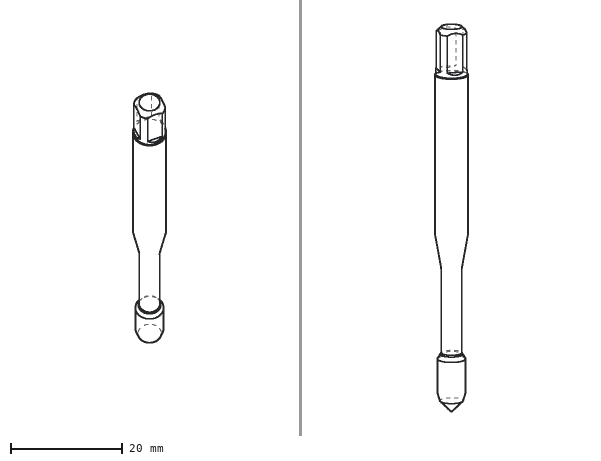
import cadquery as cq

total_length = 71.8

shank_diameter = 6.0
drive_diameter = 5.75
square_width = 4.95
drive_end_diameter = 3.7
drive_shoulder_z = 63.0
square_bottom_z = 63.9
taper_top_z = 33.25
taper_bottom_z = 26.7

neck_diameter = 3.7
neck_bottom_z = 11.05

head_diameter = 5.1
tip_diameter = 4.25
head_top_z = 10.8
head_shoulder_z = 9.9
lead_top_z = 3.6

shank_radius = shank_diameter / 2
drive_radius = drive_diameter / 2
drive_end_radius = drive_end_diameter / 2
neck_radius = neck_diameter / 2
head_radius = head_diameter / 2
tip_radius = tip_diameter / 2

shoulder_slope = (head_radius - neck_radius) / (neck_bottom_z - head_shoulder_z)
joint_radius = head_radius - shoulder_slope * (head_top_z - head_shoulder_z)


def revolve_profile(points):
    """Turn a closed (radius, z) outline around the Z axis."""
    return cq.Workplane("XZ").polyline(points).close().revolve(360, (0, 0), (0, 1))


def make_square_envelope():
    """Square prism flaring at 45 degrees into a lower block that contains the full shank."""
    flare = shank_radius - square_width / 2
    prism = (
        cq.Workplane("XY", origin=(0, 0, square_bottom_z))
        .rect(square_width, square_width)
        .extrude(total_length - square_bottom_z)
    )
    run_out = (
        cq.Workplane("XY", origin=(0, 0, square_bottom_z - flare))
        .rect(shank_diameter, shank_diameter)
        .workplane(offset=flare)
        .rect(square_width, square_width)
        .loft(ruled=True)
    )
    shank_block = (
        cq.Workplane("XY", origin=(0, 0, head_top_z))
        .rect(shank_diameter, shank_diameter)
        .extrude(square_bottom_z - flare - head_top_z)
    )
    return prism.union(run_out).union(shank_block)


def make_shank():
    """Turned shank, taper and neck, with four flats cut on the drive end."""
    end_chamfer = drive_radius - drive_end_radius
    shoulder_chamfer = shank_radius - drive_radius
    turned = revolve_profile([
        (0, head_top_z),
        (joint_radius, head_top_z),
        (neck_radius, neck_bottom_z),
        (neck_radius, taper_bottom_z),
        (shank_radius, taper_top_z),
        (shank_radius, drive_shoulder_z - shoulder_chamfer),
        (drive_radius, drive_shoulder_z),
        (drive_radius, total_length - end_chamfer),
        (drive_end_radius, total_length),
        (0, total_length),
    ])
    return turned.intersect(make_square_envelope())


def make_head():
    """Cylindrical head with a sloped shoulder, a tapered lead and a 90 degree point."""
    return revolve_profile([
        (0, 0),
        (tip_radius, tip_radius),
        (head_radius, lead_top_z),
        (head_radius, head_shoulder_z),
        (joint_radius, head_top_z),
        (0, head_top_z),
    ])


shank = make_shank()
head = make_head()

result = cq.Compound.makeCompound([shank.val(), head.val()])